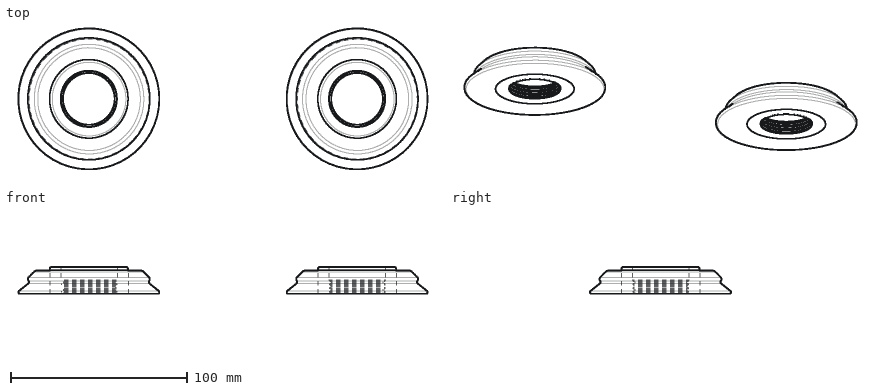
import cadquery as cq
import math

overall_length = 232.5
base_radius = 80.2 / 2
sleeve_height = 15.3
center_offset = overall_length / 2 - base_radius

collar_rise = 1.98
cover_height = sleeve_height - collar_rise
lower_normal_angle = 51
upper_normal_angle = 45
undercut_angle = 40
lip_round = 1.0
groove_round = 1.02
groove_height = 6.7
bulge_round = 1.53
shoulder_round = 2.8

sleeve_radius = 22.3
collar_round = 1.5

bore_radius = 16.0
root_radius = 15.8
crest_radius = 14.6
tooth_pitch = 2.0
tooth_count = 4
flank_height = 0.58
crest_width = 0.58
land_height = 0.58


def polar(center, radius, angle):
    """Point at the given angle, in degrees, on a circle in the (radius, height) half plane."""
    a = math.radians(angle)
    return (center[0] + radius * math.cos(a), center[1] + radius * math.sin(a))


def add_arc(profile, center, radius, start, end, line_first=True):
    """Draw an arc between two angles, by default after a straight line to its start."""
    if line_first:
        profile = profile.lineTo(*polar(center, radius, start))
    middle = polar(center, radius, (start + end) / 2)
    return profile.threePointArc(middle, polar(center, radius, end))


def revolve_about_z(profile):
    return profile.close().revolve(360, (0, 0, 0), (0, 1, 0))


def next_center(center, distance, normal_angle, height):
    """Arc center at a height, where the cone tangent to both arcs lies a signed distance further out."""
    foot = polar(center, distance, normal_angle)
    return (foot[0] - (height - foot[1]) * math.tan(math.radians(normal_angle)), height)


def make_cover():
    lip = (base_radius - lip_round, lip_round)
    groove = next_center(lip, lip_round + groove_round, lower_normal_angle, groove_height)
    bulge = polar(groove, groove_round + bulge_round, 180 - undercut_angle)
    shoulder = next_center(
        bulge, bulge_round - shoulder_round, upper_normal_angle, cover_height - shoulder_round
    )

    profile = cq.Workplane("XZ").moveTo(sleeve_radius, 0)
    profile = add_arc(profile, lip, lip_round, -90, lower_normal_angle)
    profile = add_arc(profile, groove, groove_round, 180 + lower_normal_angle, 180 - undercut_angle)
    profile = add_arc(profile, bulge, bulge_round, -undercut_angle, upper_normal_angle, line_first=False)
    profile = add_arc(profile, shoulder, shoulder_round, upper_normal_angle, 90)
    return revolve_about_z(profile.lineTo(sleeve_radius, cover_height))


def make_sleeve():
    collar = (sleeve_radius - collar_round, sleeve_height - collar_round)
    profile = cq.Workplane("XZ").moveTo(crest_radius, 0).lineTo(sleeve_radius, 0)
    profile = add_arc(profile, collar, collar_round, 0, 90).lineTo(bore_radius, sleeve_height)

    top_root = (tooth_count - 1) * tooth_pitch + crest_width + flank_height
    ledge = top_root + land_height
    profile = profile.lineTo(bore_radius, ledge).lineTo(root_radius, ledge)

    for index in reversed(range(tooth_count)):
        crest_bottom = index * tooth_pitch
        crest_top = crest_bottom + crest_width
        profile = profile.lineTo(root_radius, crest_top + flank_height).lineTo(crest_radius, crest_top)
        if index > 0:
            profile = profile.lineTo(crest_radius, crest_bottom)
            profile = profile.lineTo(root_radius, crest_bottom - flank_height)
    return revolve_about_z(profile)


bodies = []
for x in (-center_offset, center_offset):
    cover = make_cover().translate((x, 0, 0))
    sleeve = make_sleeve().translate((x, 0, 0))
    bodies.append(cover.val())
    bodies.append(sleeve.val())

result = cq.Compound.makeCompound(bodies)